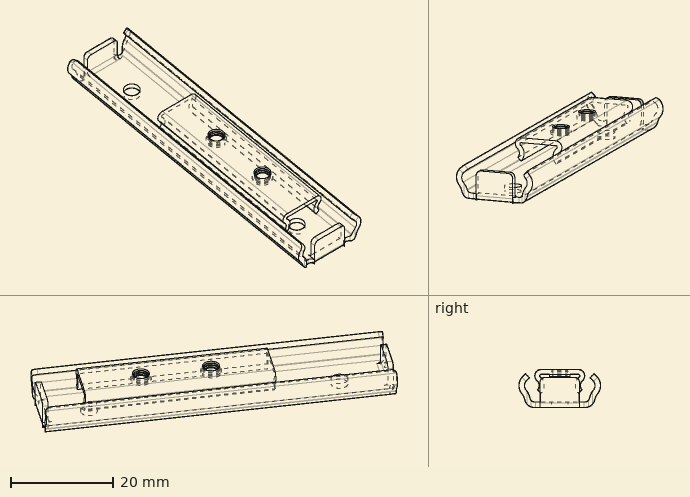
import cadquery as cq
import math


rail_length = 70.0
rail_thickness = 1.1
floor_half_width = 4.9
rail_path = [
    ("line", floor_half_width),
    ("arc", 2.0, 76.0),
    ("line", 0.15),
    ("arc", 2.65, -25.5),
    ("arc", 2.5, 84.5),
    ("line", 0.8),
]
lip_angle = sum(move[2] for move in rail_path if move[0] == "arc")
lip_corner_radius = 1.0

tab_half_width = 3.85
tab_height = 5.95
tab_thickness = rail_thickness
tab_corner_radius = 1.0
tab_outer_bend = 0.9
tab_inner_bend = 0.7

notch_depth = 0.9
notch_inner = tab_half_width + notch_depth
notch_outer = 6.45
notch_height = 3.5

mount_hole_diameter = 3.3
mount_hole_offset = 25.0

slider_top = 7.5
slider_thickness = 1.0
slider_length = 37.95
slider_center_x = 7.6
plate_half_width = 3.65
slider_path = [
    ("line", plate_half_width),
    ("arc", 1.25, 135.0),
    ("line", 0.2),
    ("arc", 1.2, -90.0),
]
boss_diameter = 4.05
boss_height = 0.4
thread_minor_diameter = 2.9
thread_major_diameter = 3.2
thread_pitch = 0.5
thread_turns = 2
countersink_diameter = 3.35
countersink_depth = 0.2
screw_hole_offset = 7.0


def walk(path):
    """Follow a path of lines and arcs; yield each move with a function giving points on either edge.

    The function takes the fraction travelled along the move and an offset to the left of it.
    """
    across, up, heading = 0.0, 0.0, 0.0
    for move in path:
        if move[0] == "line":
            def locate(fraction, offset, a=across, u=up, h=heading, length=move[1]):
                return (a + fraction * length * math.cos(h) - offset * math.sin(h),
                        u + fraction * length * math.sin(h) + offset * math.cos(h))
            turn = 0.0
        else:
            turn = math.radians(move[2])
            radius = math.copysign(move[1], turn)

            def locate(fraction, offset, a=across, u=up, h=heading, angle=turn, r=radius):
                h_now = h + fraction * angle
                return (a - r * math.sin(h) + (r - offset) * math.sin(h_now),
                        u + r * math.cos(h) - (r - offset) * math.cos(h_now))
        yield move[0], locate
        across, up = locate(1.0, 0.0)
        heading += turn


def bent_strip(path, thickness, length):
    """Symmetric channel of even thickness, bent along the path and centred on X = 0."""
    moves = list(walk(path))
    outline = cq.Workplane("YZ", origin=(-length / 2, 0, 0)).moveTo(0, 0)
    for kind, locate in moves:
        if kind == "line":
            outline = outline.lineTo(*locate(1.0, 0.0))
        else:
            outline = outline.threePointArc(locate(0.5, 0.0), locate(1.0, 0.0))
    outline = outline.lineTo(*moves[-1][1](1.0, thickness))
    for kind, locate in reversed(moves):
        if kind == "line":
            outline = outline.lineTo(*locate(0.0, thickness))
        else:
            outline = outline.threePointArc(locate(0.5, thickness), locate(0.0, thickness))
    half = outline.close().extrude(length)
    return half.union(half.mirror("XZ"), clean=True)


def corner_rounder(plane, radius, width):
    """Cutter that rounds a corner at the plane's origin, whose sides run along its +x and +y."""
    middle = radius * (1 - math.sqrt(0.5))
    return (
        cq.Workplane(plane)
        .lineTo(radius, 0)
        .threePointArc((middle, middle), (0, radius))
        .close()
        .extrude(width / 2, both=True)
    )


def on_both_sides(body):
    return body.union(body.mirror("XZ"))


def stop_tab():
    """Tab standing on the -X end of the floor, with a rounded bend at its inner foot."""
    end = -rail_length / 2
    tab = (
        cq.Workplane("YZ", origin=(end, 0, 0))
        .rect(2 * tab_half_width, 2 * tab_height)
        .extrude(tab_thickness)
        .edges("|X").fillet(tab_corner_radius)
        .intersect(cq.Workplane("XY").box(rail_length, rail_length, tab_height, centered=(True, True, False)))
    )
    foot_plane = cq.Plane(
        origin=(end + tab_thickness, 0, rail_thickness), xDir=(1, 0, 0), normal=(0, -1, 0)
    )
    return tab.union(corner_rounder(foot_plane, tab_inner_bend, 2 * tab_half_width))


def relief_notches():
    """Cutters for the reliefs between the -X tab and the two walls.

    Beside the tab the relief has a quarter-round corner; it runs out to the wall's end in an S-curve.
    """
    end = -rail_length / 2
    bottom = end + notch_depth
    s_width = notch_outer - notch_inner
    s_angle = 2 * math.atan2(notch_depth, s_width)
    s_radius = s_width / 2 / math.sin(s_angle)
    s_side = s_radius * math.sin(s_angle / 2)
    s_rise = s_radius * (1 - math.cos(s_angle / 2))
    round_middle = notch_depth * math.sqrt(0.5)
    notch = (
        cq.Workplane("XY")
        .moveTo(end, tab_half_width)
        .threePointArc((end + round_middle, notch_inner - round_middle), (bottom, notch_inner))
        .threePointArc((bottom - s_rise, notch_inner + s_side),
                       (end + notch_depth / 2, (notch_inner + notch_outer) / 2))
        .threePointArc((end + s_rise, notch_outer - s_side), (end, notch_outer))
        .close()
        .extrude(notch_height)
    )
    return on_both_sides(notch)


def lip_corner_cutters():
    """Cutters that round the lip corners at the -X end."""
    _, lip = list(walk(rail_path))[-1]
    tip_y, tip_z = lip(1.0, rail_thickness / 2)
    angle = math.radians(lip_angle)
    plane = cq.Plane(
        origin=(-rail_length / 2, tip_y, tip_z),
        xDir=(1, 0, 0),
        normal=(0, math.sin(angle), -math.cos(angle)),
    )
    return on_both_sides(corner_rounder(plane, lip_corner_radius, 2 * rail_thickness))


def make_rail():
    end = -rail_length / 2
    rail = bent_strip(rail_path, rail_thickness, rail_length)
    tab = stop_tab()
    bend_plane = cq.Plane(origin=(end, 0, 0), xDir=(1, 0, 0), normal=(0, -1, 0))
    tab_bend = corner_rounder(bend_plane, tab_outer_bend, 2 * tab_half_width)
    rail = rail.union(tab).union(tab.mirror("YZ"))
    for cutter in (relief_notches(), lip_corner_cutters(), tab_bend):
        rail = rail.cut(cutter).cut(cutter.mirror("YZ"))
    mount_holes = (
        cq.Workplane("XY")
        .pushPoints([(-mount_hole_offset, 0), (mount_hole_offset, 0)])
        .circle(mount_hole_diameter / 2)
        .extrude(rail_thickness)
    )
    return rail.cut(mount_holes)


def threaded_hole(depth):
    """Cutter for one screw hole: a countersink at Z = 0, then the thread as a stack of ring grooves."""
    minor = thread_minor_diameter / 2
    major = thread_major_diameter / 2
    profile = (
        cq.Workplane("XZ")
        .lineTo(countersink_diameter / 2, 0)
        .lineTo(minor, countersink_depth)
    )
    for turn in range(thread_turns):
        turn_start = countersink_depth + turn * thread_pitch
        profile = profile.lineTo(major, turn_start + thread_pitch / 2).lineTo(minor, turn_start + thread_pitch)
    profile = profile.lineTo(minor, depth).lineTo(0, depth).close()
    return profile.revolve(360, (0, 0, 0), (0, 1, 0))


def make_slider():
    """Built upside down with its top plate on Z = 0, then turned over into place."""
    slider = bent_strip(slider_path, slider_thickness, slider_length)
    screw_depth = slider_thickness + boss_height
    boss = cq.Workplane("XY").circle(boss_diameter / 2).extrude(screw_depth)
    hole = threaded_hole(screw_depth)
    for offset in (-screw_hole_offset, screw_hole_offset):
        slider = slider.union(boss.translate((offset, 0, 0))).cut(hole.translate((offset, 0, 0)))
    return slider.mirror("XY").translate((slider_center_x, 0, slider_top))


rail = make_rail()
slider = make_slider()

result = cq.Compound.makeCompound([*rail.solids().vals(), *slider.solids().vals()])